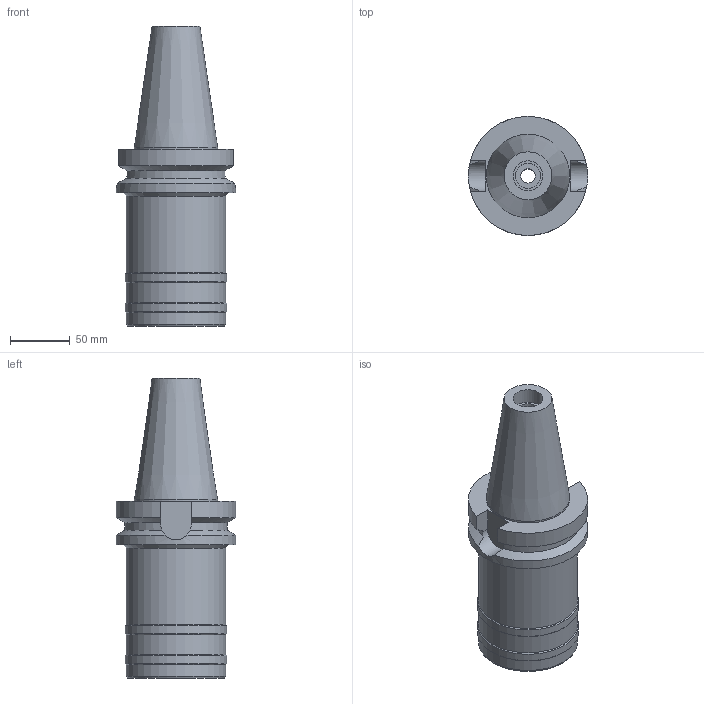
import cadquery as cq
import math


gauge_diameter = 69.85
taper_length = 101.8
taper_ratio = 7 / 24
taper_small_diameter = gauge_diameter - taper_ratio * taper_length

flange_diameter = 100.0
flange_top_depth = 1.5
flange_bottom_depth = 38.0
groove_floor_diameter = 86.0
groove_floor_width = 6.5
groove_flank_angle = 30.0
groove_centre_depth = 22.8
collar_diameter = 88.5
collar_height = 3.0

body_diameter = 83.3
body_bottom_depth = 150.0
body_chamfer_height = 1.5
body_chamfer_width = 0.75

ring_diameter = 85.0
ring_width = 8.4
ring_chamfer = (ring_diameter - body_diameter) / 2
ring_spacing = 25.0
lower_ring_depth = 134.5
ring_depths = [lower_ring_depth - ring_spacing, lower_ring_depth]

slot_width = 25.4
slot_bottom_depth = 34.0
slot_floor_radius = 35.3

counterbore_diameter = 25.0
counterbore_depth = 13.0
thread_bore_diameter = 21.0
thread_bore_depth = 60.0
through_hole_diameter = 12.0


def make_turned_blank():
    """Revolve the outside profile of the taper, flange and body."""
    taper_small_radius = taper_small_diameter / 2
    gauge_radius = gauge_diameter / 2
    flange_radius = flange_diameter / 2
    groove_radius = groove_floor_diameter / 2
    body_radius = body_diameter / 2
    flank_height = (flange_radius - groove_radius) * math.tan(math.radians(groove_flank_angle))
    floor_top = -groove_centre_depth + groove_floor_width / 2
    floor_bottom = -groove_centre_depth - groove_floor_width / 2
    profile = [
        (0, taper_length),
        (taper_small_radius, taper_length),
        (gauge_radius, 0),
        (gauge_radius, -flange_top_depth),
        (flange_radius, -flange_top_depth),
        (flange_radius, floor_top + flank_height),
        (groove_radius, floor_top),
        (groove_radius, floor_bottom),
        (flange_radius, floor_bottom - flank_height),
        (flange_radius, -flange_bottom_depth),
        (collar_diameter / 2, -flange_bottom_depth),
        (body_radius, -flange_bottom_depth - collar_height),
        (body_radius, -body_bottom_depth + body_chamfer_height),
        (body_radius - body_chamfer_width, -body_bottom_depth),
        (0, -body_bottom_depth),
    ]
    return cq.Workplane("XZ").polyline(profile).close().revolve(360, (0, 0), (0, 1))


def make_ring(centre_depth):
    """Chamfered disc that stands proud of the body as a raised ring."""
    return (
        cq.Workplane("XY", origin=(0, 0, -centre_depth - ring_width / 2))
        .circle(ring_diameter / 2)
        .extrude(ring_width)
        .edges()
        .chamfer(ring_chamfer)
    )


def make_drive_slot(side):
    """Cutter for the slot on the +X (side = 1) or -X (side = -1) side of the flange."""
    half_width = slot_width / 2
    arc_centre_z = -slot_bottom_depth + half_width
    cut_length = flange_diameter / 2 - slot_floor_radius
    return (
        cq.Workplane("YZ", origin=(side * slot_floor_radius, 0, 0))
        .moveTo(-half_width, 0)
        .lineTo(-half_width, arc_centre_z)
        .threePointArc((0, -slot_bottom_depth), (half_width, arc_centre_z))
        .lineTo(half_width, 0)
        .close()
        .extrude(side * cut_length)
    )


def make_bore(diameter, depth):
    """Cutter for a round hole going down from the small end of the taper."""
    return (
        cq.Workplane("XY", origin=(0, 0, taper_length))
        .circle(diameter / 2)
        .extrude(-depth)
    )


result = make_turned_blank()

for depth in ring_depths:
    result = result.union(make_ring(depth))

for side in (-1, 1):
    result = result.cut(make_drive_slot(side))

result = result.cut(make_bore(counterbore_diameter, counterbore_depth))
result = result.cut(make_bore(thread_bore_diameter, thread_bore_depth))
result = result.cut(make_bore(through_hole_diameter, taper_length + body_bottom_depth))